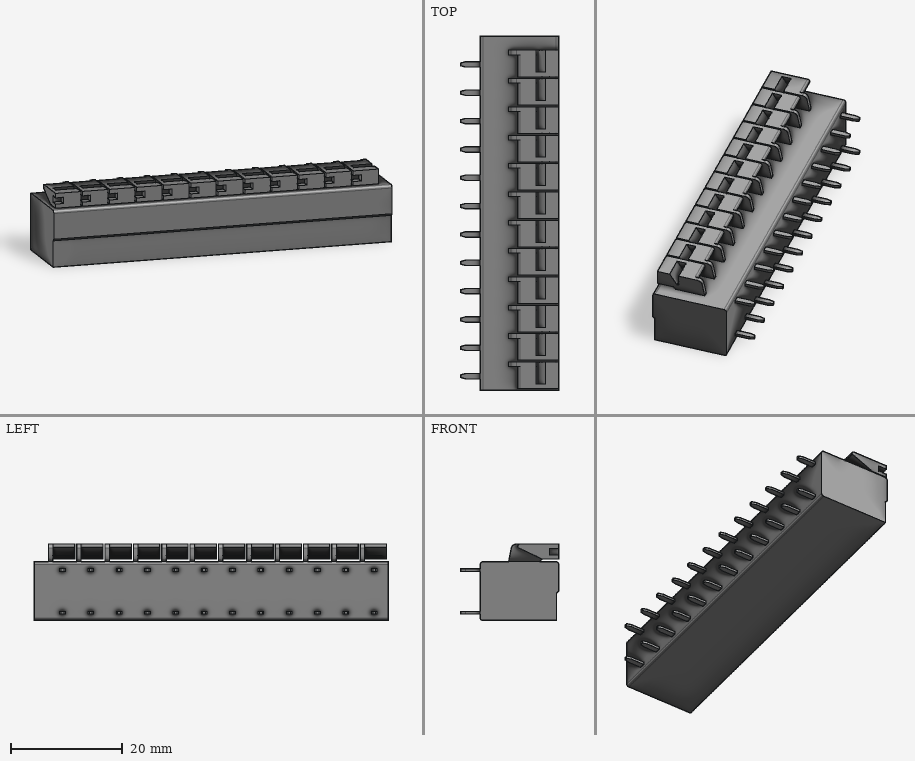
import cadquery as cq
import math

pole_count = 12
pole_pitch = 5.1
row_length = 63.5

housing_width = 14.1
housing_height = 10.55
top_edge_radius = 0.5
bottom_edge_radius = 0.45
step_depth = 0.4
step_height = 4.9

pin_length = 3.5
pin_width = 1.0
pin_thickness = 0.5
pin_tip_width = 0.5
pin_tip_length = 0.9
first_pin_y = pole_pitch / 2
lower_pin_z = 1.4
pin_row_spacing = 7.6

lever_top = 13.7
lever_gap = 0.3
lever_width = pole_pitch - lever_gap

plate_thickness = 0.8
plate_foot_start = 5.1
plate_foot_end = 10.6
plate_lean = 0.65
plate_nose_radius = 0.95

nose_start = 6.7
nose_radius = 0.45
nose_wrap_angle = 30.0
belly_end = 11.1
lever_bottom = 11.0

slot_start = 10.05
slot_floor_width = 0.3
slot_end = 11.75
slot_depth = 2.1
slot_floor_drop = 0.05
slot_end_wall = 0.8

notch_start = 12.45
notch_bottom = 11.75
notch_height = 1.15
notch_depth = 1.5


def extrude_along_y(profile, start, length):
    """Extrude a closed XZ profile towards +Y from the given Y."""
    return profile.extrude(-length).translate((0, start, 0))


def make_housing():
    outline = (
        cq.Workplane("XZ")
        .lineTo(housing_width - step_depth, 0)
        .lineTo(housing_width - step_depth, step_height)
        .lineTo(housing_width, step_height + step_depth)
        .lineTo(housing_width, housing_height)
        .lineTo(0, housing_height)
        .close()
    )
    housing = extrude_along_y(outline, 0, row_length)
    housing = housing.faces(">Z").edges("|Y").fillet(top_edge_radius)
    return housing.faces("<X").edges("<Z").fillet(bottom_edge_radius)


def make_pin(y, z):
    """Flat pin with a tapered tip, centred on (y, z) and rooted in the left face."""
    shoulder = pin_tip_length - pin_length
    return (
        cq.Workplane("XY")
        .moveTo(0, -pin_width / 2)
        .lineTo(shoulder, -pin_width / 2)
        .lineTo(-pin_length, -pin_tip_width / 2)
        .lineTo(-pin_length, pin_tip_width / 2)
        .lineTo(shoulder, pin_width / 2)
        .lineTo(0, pin_width / 2)
        .close()
        .extrude(pin_thickness)
        .translate((0, y, z - pin_thickness / 2))
    )


def make_plate():
    outline = (
        cq.Workplane("XZ")
        .moveTo(plate_foot_start, housing_height)
        .lineTo(plate_foot_end, housing_height)
        .lineTo(belly_end, lever_bottom)
        .lineTo(belly_end, lever_top)
        .lineTo(plate_foot_start + plate_lean, lever_top)
        .close()
    )
    plate = extrude_along_y(outline, lever_width - plate_thickness, plate_thickness)
    return plate.faces("<X").edges(">Z").fillet(plate_nose_radius)


def make_lever_body():
    nose_x = nose_start + nose_radius
    nose_z = lever_top - nose_radius
    wrap = math.radians(nose_wrap_angle)
    outline = (
        cq.Workplane("XZ")
        .moveTo(housing_width, lever_top)
        .lineTo(nose_x, lever_top)
        .threePointArc(
            (nose_start, nose_z),
            (nose_x - nose_radius * math.cos(wrap), nose_z - nose_radius * math.sin(wrap)),
        )
        .lineTo(belly_end, lever_bottom)
        .lineTo(housing_width, lever_bottom)
        .close()
    )
    return extrude_along_y(outline, 0, lever_width)


def make_slot():
    """Slot cutter with one steep wall, open at the +Y side of the lever."""
    floor_z = lever_top - slot_depth
    outline = (
        cq.Workplane("XZ")
        .moveTo(slot_start, lever_top)
        .lineTo(slot_start, floor_z + slot_floor_drop)
        .lineTo(slot_start + slot_floor_width, floor_z)
        .lineTo(slot_end, lever_top)
        .close()
    )
    return extrude_along_y(outline, slot_end_wall, lever_width - slot_end_wall)


def make_notch():
    size = (housing_width - notch_start, notch_depth, notch_height)
    return cq.Workplane("XY").box(*size, centered=False).translate((notch_start, 0, notch_bottom))


def make_lever():
    """One lever with its -Y side at Y = 0."""
    return make_lever_body().union(make_plate()).cut(make_slot()).cut(make_notch())


result = make_housing()
lever = make_lever()
for pole in range(pole_count):
    pole_y = pole * pole_pitch
    result = result.union(lever.translate((0, pole_y + lever_gap, 0)))
    for pin_z in (lower_pin_z, lower_pin_z + pin_row_spacing):
        result = result.union(make_pin(pole_y + first_pin_y, pin_z))